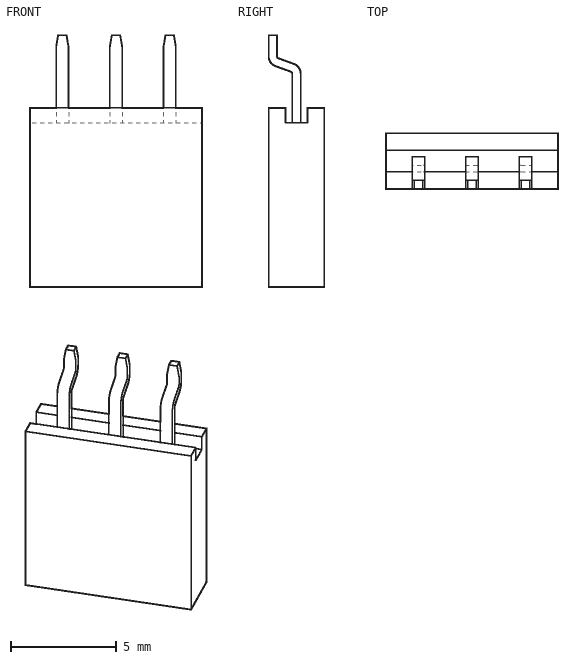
import cadquery as cq
import math

housing_length = 8.17
housing_depth = 2.65
housing_height = 8.5
slot_width = 1.04
slot_depth = 0.7
slot_floor = housing_height - slot_depth

pin_count = 3
pin_pitch = 2.55
pin_width = 0.6
pin_thickness = 0.41
pin_top = 11.95
bend_middle_height = 10.53
bend_slope = math.radians(20)
inner_bend_radius = 0.1
outer_bend_radius = inner_bend_radius + pin_thickness
tip_width = 0.41
tip_length = 0.56


def make_housing():
    """Block with a slot along the full length of its top face."""
    block = cq.Workplane("XY").box(
        housing_length, housing_depth, housing_height, centered=(True, False, False)
    )
    slot = (
        cq.Workplane("XY")
        .box(housing_length, slot_width, slot_depth, centered=(True, True, False))
        .translate((0, housing_depth / 2, slot_floor))
    )
    return block.cut(slot)


def make_bent_strip():
    """Side profile of a pin, extruded to its full width and rounded at the bends."""
    stem_front = (housing_depth - pin_thickness) / 2
    stem_back = stem_front + pin_thickness
    half_rise = stem_front / 2 * math.tan(bend_slope)
    mitre = pin_thickness / 2 * math.tan(math.pi / 4 - bend_slope / 2)
    lower_bend = bend_middle_height - half_rise
    upper_bend = bend_middle_height + half_rise
    lower_inner = (stem_front, lower_bend - mitre)
    lower_outer = (stem_back, lower_bend + mitre)
    upper_outer = (0, upper_bend - mitre)
    upper_inner = (pin_thickness, upper_bend + mitre)
    strip = (
        cq.Workplane("YZ")
        .moveTo(stem_front, slot_floor)
        .lineTo(*lower_inner)
        .lineTo(*upper_outer)
        .lineTo(0, pin_top)
        .lineTo(pin_thickness, pin_top)
        .lineTo(*upper_inner)
        .lineTo(*lower_outer)
        .lineTo(stem_back, slot_floor)
        .close()
        .extrude(pin_width / 2, both=True)
    )
    for corners, radius in (
        ((lower_inner, upper_inner), inner_bend_radius),
        ((lower_outer, upper_outer), outer_bend_radius),
    ):
        for corner in corners:
            nearest = cq.selectors.NearestToPointSelector((0, *corner))
            strip = strip.edges("|X").edges(nearest).fillet(radius)
    return strip


def make_pin():
    """Bent strip trimmed to a front outline that narrows towards the tip."""
    taper_start = pin_top - tip_length
    outline = (
        cq.Workplane("XZ")
        .moveTo(-pin_width / 2, slot_floor)
        .lineTo(pin_width / 2, slot_floor)
        .lineTo(pin_width / 2, taper_start)
        .lineTo(tip_width / 2, pin_top)
        .lineTo(-tip_width / 2, pin_top)
        .lineTo(-pin_width / 2, taper_start)
        .close()
        .extrude(-housing_depth)
    )
    return make_bent_strip().intersect(outline)


housing = make_housing()

pins = []
for index in range(pin_count):
    pin_x = (index - (pin_count - 1) / 2) * pin_pitch
    pins.append(make_pin().translate((pin_x, 0, 0)).val())

result = cq.Compound.makeCompound([housing.val(), *pins])